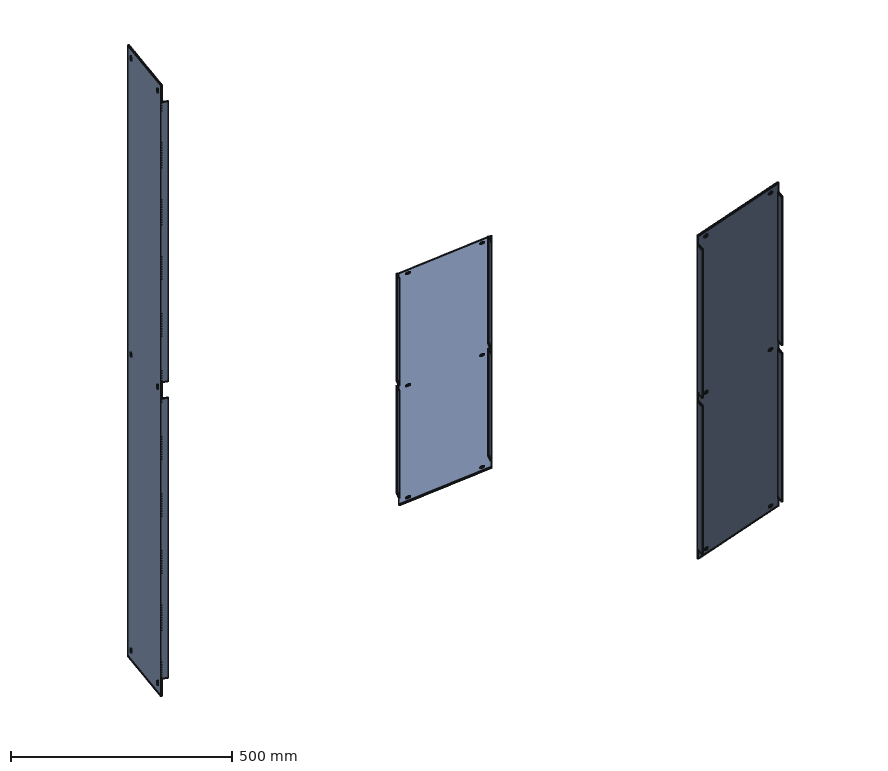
import cadquery as cq

width = 229.0
height = 1524.0
depth = 18.0
thickness = 3.0

end_relief = 43.0
middle_gap = 41.0
flange_length = (height - 2 * end_relief - middle_gap) / 2
flange_center_z = (middle_gap + flange_length) / 2

hole_diameter = 10.0
hole_side_margin = 23.0
hole_end_margin = 23.0
hole_x = width / 2 - hole_side_margin
hole_z = height / 2 - hole_end_margin


def make_plate():
    """Flat face of the panel."""
    return cq.Workplane("XY").box(width, thickness, height, centered=(True, False, True))


def make_flange(side, end):
    """One folded flange; side and end are -1 or 1 along X and Z."""
    center_x = side * (width - thickness) / 2
    flange = cq.Workplane("XY").box(thickness, depth, flange_length, centered=(True, False, True))
    return flange.translate((center_x, 0, end * flange_center_z))


def make_holes():
    """Cutters for the mounting holes, passing through the plate."""
    centers = [(x, z) for x in (-hole_x, hole_x) for z in (-hole_z, 0, hole_z)]
    return cq.Workplane("XZ").pushPoints(centers).circle(hole_diameter / 2).extrude(-thickness)


panel = make_plate()
for side in (-1, 1):
    for end in (-1, 1):
        panel = panel.union(make_flange(side, end))

result = panel.cut(make_holes())